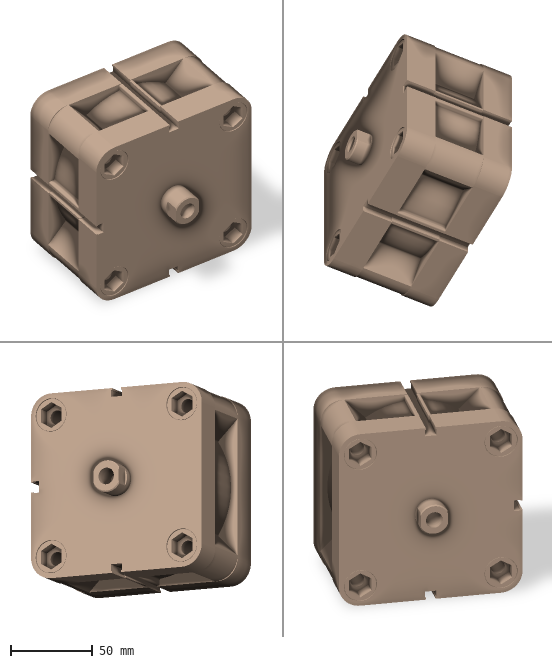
import cadquery as cq
import math

side = 116.0
half_side = side / 2
corner_radius = 13.6
cap_thickness = 19.6
barrel_corner_radius = 15.1
barrel_length = 32.8
half_barrel = barrel_length / 2
half_body = half_barrel + cap_thickness

bolt_offset = half_side - corner_radius
bolt_diameter = 8.8
hex_across_flats = 14.0
hex_depth = 8.9
hex_turn = 30
seat_diameter = 20.9
land_diameter = 20.2
ring_depth = 1.0
land_depth = 0.3

slot_angles = (0, 90, 180)
slot_depth = 5.5
lip_depth = 1.3
cap_mouth_width = 6.3
cap_slot_width = 7.3
barrel_mouth_width = 5.5
barrel_slot_width = 6.4

tube_radius = 53.6
post_width = 21.5
post_angles = (45, 135)
rail_width = 10.2
rail_height = 57.5
edge_fillet = 0.9
tolerance = 0.01

rod_diameter = 20.0
short_end = 10.0
long_end = 15.0
end_chamfer = 0.7
flat_length = 9.0
across_flats = 17.0
tap_diameter = 10.4
tap_depth = 18.0
drill_point_angle = 118.0


def prism(start_x, length, draw):
    """Extrude the Y-Z outline made by draw from start_x along +X."""
    plane = cq.Workplane("YZ", origin=(start_x, 0, 0))
    return draw(plane).extrude(length)


def rounded_block(start_x, length, radius):
    """Square block with rounded long edges."""
    block = prism(start_x, length, lambda plane: plane.rect(side, side))
    return block.edges("|X").fillet(radius)


def bolt_pattern(workplane):
    return workplane.rect(2 * bolt_offset, 2 * bolt_offset, forConstruction=True).vertices()


def slot_cutter(start_x, length, mouth_width, inner_width):
    """Undercut slot in the +Z side, narrower at its mouth."""
    floor_z = half_side - slot_depth
    lip_z = half_side - lip_depth

    def inner(plane):
        return plane.center(0, (floor_z + lip_z) / 2).rect(inner_width, lip_z - floor_z)

    def mouth(plane):
        return plane.center(0, (floor_z + half_side) / 2).rect(mouth_width, slot_depth)

    return prism(start_x, length, inner).union(prism(start_x, length, mouth))


def around_rod_axis(shape, angles):
    """Union of copies of shape turned about the X axis."""
    copies = [shape.rotate((0, 0, 0), (1, 0, 0), angle) for angle in angles]
    combined = copies[0]
    for copy in copies[1:]:
        combined = combined.union(copy)
    return combined


def rod_bore():
    return prism(-half_body, 2 * half_body, lambda plane: plane.circle(rod_diameter / 2))


def bolt_holes():
    return prism(
        -half_body, 2 * half_body, lambda plane: bolt_pattern(plane).circle(bolt_diameter / 2)
    )


def bolt_head_recesses():
    """Ring grooves, sunken lands inside them and hexagon sockets in the -X face."""
    def discs(diameter, depth):
        pattern = bolt_pattern(cq.Workplane("YZ", origin=(-half_body, 0, 0)))
        return pattern.circle(diameter / 2).extrude(depth)

    lands = discs(land_diameter, ring_depth).cut(discs(land_diameter, land_depth))
    across_corners = hex_across_flats / math.cos(math.radians(hex_turn))
    socket = (
        cq.Workplane("YZ", origin=(-half_body, 0, 0))
        .polygon(6, across_corners)
        .extrude(hex_depth)
        .rotate((0, 0, 0), (1, 0, 0), hex_turn)
    )
    recesses = discs(seat_diameter, ring_depth).cut(lands)
    for y in (-bolt_offset, bolt_offset):
        for z in (-bolt_offset, bolt_offset):
            recesses = recesses.union(socket.translate((0, y, z)))
    return recesses


def make_cap(on_far_side):
    """End cap at -X, or its mirror image at +X."""
    slot = slot_cutter(-half_body, cap_thickness, cap_mouth_width, cap_slot_width)
    cap = (
        rounded_block(-half_body, cap_thickness, corner_radius)
        .cut(around_rod_axis(slot, slot_angles))
        .cut(rod_bore())
        .cut(bolt_holes())
        .cut(bolt_head_recesses())
    )
    return cap.mirror("YZ") if on_far_side else cap


def barrel_profile():
    """Tube, corner posts and rails, filleted where they meet."""
    tube = prism(-half_barrel, barrel_length, lambda plane: plane.circle(tube_radius))
    post_bar = prism(-half_barrel, barrel_length, lambda plane: plane.rect(post_width, 2 * side))
    rail = prism(
        -half_barrel,
        barrel_length,
        lambda plane: plane.center(0, rail_height / 2).rect(rail_width, rail_height),
    )
    rail = rail.edges("|X and >Z").fillet(edge_fillet)
    profile = tube.union(around_rod_axis(post_bar, post_angles))
    profile = profile.union(around_rod_axis(rail, slot_angles))

    def at_tube_surface(edge):
        middle = edge.Center()
        return abs(math.hypot(middle.y, middle.z) - tube_radius) < tolerance

    inner_edges = [edge for edge in profile.edges("|X").vals() if at_tube_surface(edge)]
    profile = profile.newObject(inner_edges).fillet(edge_fillet)
    return profile.intersect(rounded_block(-half_barrel, barrel_length, barrel_corner_radius))


def make_barrel():
    slot = slot_cutter(-half_barrel, barrel_length, barrel_mouth_width, barrel_slot_width)
    return (
        barrel_profile()
        .cut(around_rod_axis(slot, slot_angles))
        .cut(rod_bore())
        .cut(bolt_holes())
    )


def tapped_hole():
    """Blind hole from the origin along +X with a drill-point bottom."""
    tap_radius = tap_diameter / 2
    tip_depth = tap_depth + tap_radius / math.tan(math.radians(drill_point_angle / 2))
    return (
        cq.Workplane("XY")
        .polyline([(0, 0), (0, tap_radius), (tap_depth, tap_radius), (tip_depth, 0)])
        .close()
        .revolve(360, (0, 0, 0), (1, 0, 0))
    )


def make_rod():
    start_x = -half_body - short_end
    end_x = half_body + long_end
    rod = prism(start_x, end_x - start_x, lambda plane: plane.circle(rod_diameter / 2))
    rod = rod.faces("<X or >X").chamfer(end_chamfer)

    flat_cut = (rod_diameter - across_flats) / 2
    for flat_x in (start_x + flat_length / 2, end_x - flat_length / 2):
        for direction in (-1, 1):
            flat_y = direction * (across_flats + flat_cut) / 2
            flat = cq.Workplane("XY").box(flat_length, flat_cut, rod_diameter)
            rod = rod.cut(flat.translate((flat_x, flat_y, 0)))

    near_hole = tapped_hole().translate((start_x, 0, 0))
    far_hole = tapped_hole().mirror("YZ").translate((end_x, 0, 0))
    return rod.cut(near_hole).cut(far_hole)


def centred(body):
    """Shift along X so that the unequal rod ends lie equally far from the origin."""
    return body.translate(((short_end - long_end) / 2, 0, 0))


barrel = centred(make_barrel())
caps = [centred(make_cap(on_far_side)) for on_far_side in (False, True)]
rod = centred(make_rod())

result = cq.Compound.makeCompound([barrel.val(), *[cap.val() for cap in caps], rod.val()])